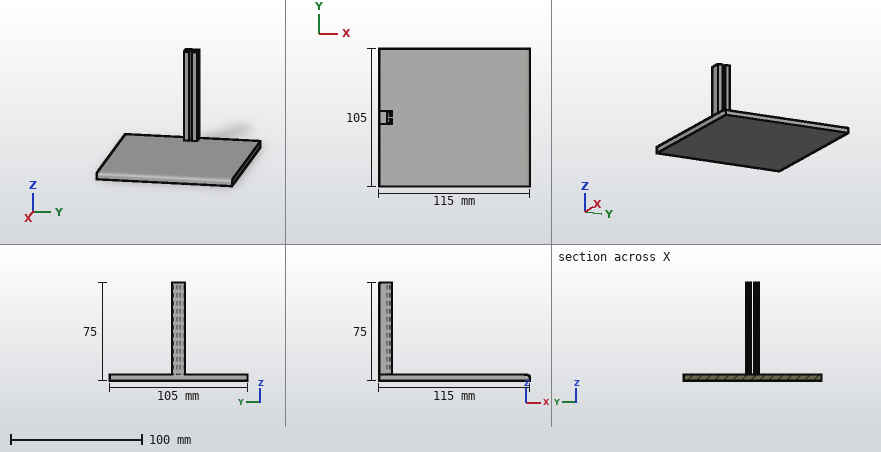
import cadquery as cq

length = 115.0
width = 105.0
plate_thickness = 5.0
nose_length = 10.0

total_height = 75.0
post_size = 10.0
crown_length = post_size / 2
crown_drop = 2.5

wall = 1.0
channel_start = 6.1
channel_half_width = post_size / 2 - wall
channel_end = post_size - wall
lip_start = 7.9
slit_half_width = 1.2


def rounded_end(sketch, start, corner, end):
    """Add a tight curve tangent to both sides of a corner."""
    return sketch.bezier([start, corner, corner, end])


def make_plate():
    profile = cq.Workplane("XZ", origin=(0, width / 2, 0)).polyline(
        [(0, 0), (0, plate_thickness), (length - nose_length, plate_thickness)]
    )
    profile = rounded_end(
        profile,
        (length - nose_length, plate_thickness),
        (length, plate_thickness),
        (length, 0),
    )
    return profile.close().extrude(width)


def make_post():
    profile = cq.Workplane("XZ", origin=(0, post_size / 2, 0)).polyline(
        [(0, 0), (post_size, 0), (post_size, total_height), (crown_length, total_height)]
    )
    profile = rounded_end(
        profile,
        (crown_length, total_height),
        (0, total_height),
        (0, total_height - crown_drop),
    )
    return profile.close().extrude(post_size)


def make_channel():
    upper_half = [
        (channel_start, channel_half_width),
        (channel_end, channel_half_width),
        (lip_start, slit_half_width),
        (post_size, slit_half_width),
    ]
    lower_half = [(x, -y) for x, y in reversed(upper_half)]
    return (
        cq.Workplane("XY", origin=(0, 0, plate_thickness))
        .polyline(upper_half + lower_half)
        .close()
        .extrude(total_height - plate_thickness)
    )


result = make_plate().union(make_post()).cut(make_channel())